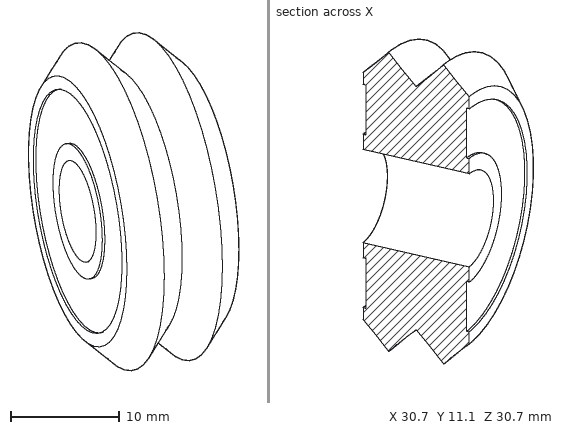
import cadquery as cq

outer_diameter = 30.73
width = 11.1
bore_diameter = 9.53
inner_ring_diameter = 12.7
shield_diameter = 22.86
ridge_spacing = 5.75
shield_recess = 0.254

outer_radius = outer_diameter / 2
half_width = width / 2
ridge_offset = ridge_spacing / 2
groove_radius = outer_radius - ridge_offset
face_radius = outer_radius - (half_width - ridge_offset)


def wheel_body():
    """Wheel with a central vee groove, bevelled flanks and a through bore."""
    bore_radius = bore_diameter / 2
    profile = [
        (bore_radius, -half_width),
        (face_radius, -half_width),
        (outer_radius, -ridge_offset),
        (groove_radius, 0),
        (outer_radius, ridge_offset),
        (face_radius, half_width),
        (bore_radius, half_width),
    ]
    return cq.Workplane("XY").polyline(profile).close().revolve(360, (0, 0), (0, 1))


def shield_recess_cutter():
    """Shallow ring between the inner ring and the rim, on the -Y face."""
    return (
        cq.Workplane("XZ", origin=(0, -half_width, 0))
        .circle(shield_diameter / 2)
        .circle(inner_ring_diameter / 2)
        .extrude(-shield_recess)
    )


front_recess = shield_recess_cutter()
back_recess = front_recess.mirror("XZ")
result = wheel_body().cut(front_recess).cut(back_recess)